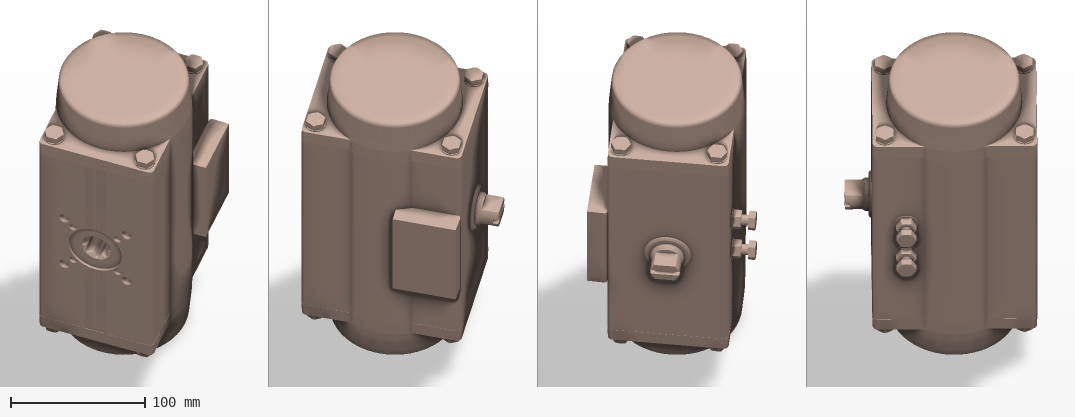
import cadquery as cq
import math


half_width = 45.5
half_depth = 61.4
half_length = 88.0
corner_radius = 4.0
barrel_radius = 50.9
barrel_blend = 4.0

skirt_height = 11.0
skirt_overhang = 0.1
skirt_draft = 2.0
dome_base_radius = 50.7
skirt_top = half_length + skirt_height
cap_top = 126.15
crown_flat_radius = 40.3
crown_edge = (46.5, 125.1)
shoulder_edge = (48.6, 122.2)

hex_flats = 13.0
hex_corners = hex_flats / math.cos(math.pi / 6)
hex_bevel_angle = math.radians(20)

bolt_x = 36.0
bolt_y = 52.0
bolt_flange_diameter = 15.0
bolt_flange_height = 0.9
bolt_head_height = 5.3

serration_count = 18
serration_pitch = 0.9
serration_depth = 0.3

mount_holes = [(6.65, 8.2, 70.0), (4.92, 6.2, 50.0)]
mount_hole_depth = 14.0
drill_tip_angle = math.radians(118)

pinion_diameter = 39.6
pinion_recess_diameter = 42.3
pinion_recess_depth = 2.0
pinion_top = 50.0
journal_diameter = 25.0
journal_top = 66.3
shaft_diameter = 22.2
flats_bottom = 68.5
flats_width = 15.0
shaft_top = 81.5
shaft_end_chamfer = 0.7
slot_width = 4.0
slot_depth = 4.0

socket_square = 17.0
socket_depth = 19.0
socket_pilot_diameter = 17.2
socket_tip_diameter = 22.6
socket_mouth_diameter = 23.3

washer_diameter = 35.0
washer_top_diameter = 32.0
washer_height = 2.3
washer_bevel_height = 1.0

stop_y = 36.2
stop_z = 16.0
stop_reach = 17.8
stop_shank_diameter = 8.0
stop_collar_diameter = 17.2
stop_collar_height = 0.6
stop_nut_height = 6.4
stop_head_height = 5.3

block_thickness = 15.0
block_half_length = 37.5
block_bottom = 12.65
block_corner_radius = 2.5
block_gap_radius = 51.6
block_top_slope = 0.5
block_side_slope = 0.2
block_lip_radius = 1.5


def drill(core_diameter, mouth_diameter, depth):
    """Blind hole along +Z with a conical tip and a 45 degree countersink at its mouth."""
    core = core_diameter / 2
    mouth = mouth_diameter / 2
    tip = core / math.tan(drill_tip_angle / 2)
    return (
        cq.Workplane("XZ")
        .polyline([(0, 0), (mouth, 0), (core, mouth - core), (core, depth), (0, depth + tip)])
        .close()
        .revolve(360, (0, 0, 0), (0, 1, 0))
    )


def onto_shaft_axis(solid):
    """Turns a solid built along +Z so that it runs along +Y."""
    return solid.rotate((0, 0, 0), (1, 0, 0), -90)


def hexagon(height):
    """Bolt head or nut along +Z, with two corners on the X axis and a bevelled far end."""
    bevel_radial = (hex_corners - hex_flats) / 2
    bevel_axial = bevel_radial * math.tan(hex_bevel_angle)
    bevelled = cq.Workplane("XY").circle(hex_corners / 2).extrude(height)
    bevelled = bevelled.faces(">Z").chamfer(bevel_axial, bevel_radial)
    prism = cq.Workplane("XY").polygon(6, hex_corners).extrude(height)
    return prism.intersect(bevelled)


def make_housing():
    body = (
        cq.Workplane("XY")
        .rect(2 * half_width, 2 * half_depth)
        .extrude(half_length, both=True)
        .edges("|Z")
        .fillet(corner_radius)
    )
    barrel = cq.Workplane("XY").circle(barrel_radius).extrude(half_length, both=True)
    body = body.union(barrel)
    junction_y = math.sqrt(barrel_radius**2 - half_width**2)
    for side in (-1, 1):
        for end in (-1, 1):
            point = (side * half_width, end * junction_y, 0)
            body = body.edges(cq.selectors.NearestToPointSelector(point)).fillet(barrel_blend)
    body = body.cut(serrations())
    for core, mouth, bolt_circle in mount_holes:
        hole = onto_shaft_axis(drill(core, mouth, mount_hole_depth))
        offset = bolt_circle / 2 * math.sin(math.pi / 4)
        for x in (-offset, offset):
            for z in (-offset, offset):
                body = body.cut(hole.translate((x, -half_depth, z)))
    return body.cut(shaft_passage())


def serrations():
    """Side-by-side V grooves along the whole length of the mounting face."""
    start = -serration_count * serration_pitch / 2
    points = [(start, -half_depth)]
    for index in range(serration_count):
        left = start + index * serration_pitch
        points.append((left + serration_pitch / 2, -half_depth + serration_depth))
        points.append((left + serration_pitch, -half_depth))
    points.append((-start, -half_depth - serration_depth))
    points.append((start, -half_depth - serration_depth))
    return cq.Workplane("XY").polyline(points).close().extrude(half_length, both=True)


def shaft_stage(diameter, bottom, top):
    """Cylinder on the shaft axis between two Y positions."""
    stage = cq.Workplane("XY").circle(diameter / 2).extrude(top - bottom)
    return onto_shaft_axis(stage).translate((0, bottom, 0))


def shaft_passage():
    """Stepped bore that fits the shaft, opening into a wider recess at the mounting face."""
    floor = -half_depth + pinion_recess_depth
    recess = shaft_stage(pinion_recess_diameter, -half_depth, floor)
    pinion_bore = shaft_stage(pinion_diameter, floor, pinion_top)
    journal_bore = shaft_stage(journal_diameter, pinion_top, half_depth)
    return recess.union(pinion_bore).union(journal_bore)


def make_cap():
    """Upper end cap with its four bolt heads."""
    outline = (
        cq.Sketch()
        .rect(2 * (half_width + skirt_overhang), 2 * (half_depth + skirt_overhang))
        .vertices()
        .fillet(corner_radius)
    )
    plate = (
        cq.Workplane("XY", origin=(0, 0, half_length))
        .placeSketch(outline)
        .extrude(skirt_height, taper=skirt_draft)
    )
    dome = (
        cq.Workplane("XZ")
        .moveTo(0, half_length)
        .lineTo(0, cap_top)
        .lineTo(crown_flat_radius, cap_top)
        .tangentArcPoint(crown_edge, relative=False)
        .tangentArcPoint(shoulder_edge, relative=False)
        .lineTo(dome_base_radius, skirt_top)
        .lineTo(barrel_radius, half_length)
        .close()
        .revolve(360, (0, 0, 0), (0, 1, 0))
    )
    cap = plate.union(dome)
    flange = cq.Workplane("XY").circle(bolt_flange_diameter / 2).extrude(bolt_flange_height)
    head = hexagon(bolt_head_height).translate((0, 0, bolt_flange_height))
    bolt = flange.union(head)
    for x in (-bolt_x, bolt_x):
        for y in (-bolt_y, bolt_y):
            cap = cap.union(bolt.translate((x, y, skirt_top)))
    return cap


def make_shaft():
    """Pinion, journal and flatted stub with an end slot; the drive socket is in the pinion."""
    pinion_bottom = -half_depth + pinion_recess_depth
    pinion = shaft_stage(pinion_diameter, pinion_bottom, pinion_top)
    journal = shaft_stage(journal_diameter, pinion_top, flats_bottom)
    shoulder = flats_bottom - journal_top
    journal = journal.faces(">Y").chamfer(shoulder, (journal_diameter - shaft_diameter) / 2)
    stub = shaft_stage(shaft_diameter, flats_bottom, shaft_top)
    stub = stub.faces(">Y").chamfer(shaft_end_chamfer)
    flats = cq.Workplane("XY").box(shaft_diameter, 2 * shaft_top, flats_width)
    stub = stub.intersect(flats)
    slot = cq.Workplane("XY").box(shaft_diameter, 2 * slot_depth, slot_width)
    stub = stub.cut(slot.translate((0, shaft_top, 0)))
    shaft = pinion.union(journal).union(stub)
    return shaft.cut(drive_socket().translate((0, pinion_bottom, 0)))


def drive_socket():
    """Two squares turned by 45 degrees, with rounded-off tips, over a bevelled pilot hole."""
    square = cq.Workplane("XY").rect(socket_square, socket_square).extrude(socket_depth)
    star = square.union(square.rotate((0, 0, 0), (0, 0, 1), 45))
    tip_circle = cq.Workplane("XY").circle(socket_tip_diameter / 2).extrude(socket_depth)
    pilot = drill(socket_pilot_diameter, socket_mouth_diameter, socket_depth)
    return onto_shaft_axis(star.intersect(tip_circle).union(pilot))


def make_washer():
    washer = shaft_stage(washer_diameter, half_depth, half_depth + washer_height)
    bevel_radial = (washer_diameter - washer_top_diameter) / 2
    washer = washer.faces(">Y").chamfer(washer_bevel_height, bevel_radial)
    return washer.cut(shaft_stage(journal_diameter, half_depth, half_depth + washer_height))


def make_stop_screw():
    """Travel stop screw along +Z from its seat: collar, lock nut, shank and head."""
    head_bottom = stop_reach - stop_head_height
    screw = cq.Workplane("XY").circle(stop_collar_diameter / 2).extrude(stop_collar_height)
    screw = screw.union(hexagon(stop_nut_height).translate((0, 0, stop_collar_height)))
    screw = screw.union(cq.Workplane("XY").circle(stop_shank_diameter / 2).extrude(stop_reach))
    head = hexagon(stop_head_height).translate((0, 0, head_bottom))
    screw = screw.union(head)
    screw = screw.rotate((0, 0, 0), (0, 0, 1), 90)
    return screw.rotate((0, 0, 0), (0, 1, 0), -90).translate((-half_width, 0, 0))


def make_side_block():
    outer = half_width + block_thickness
    arc_top = math.sqrt(block_gap_radius**2 - half_width**2)
    arc_bottom = math.sqrt(block_gap_radius**2 - block_bottom**2)
    block = (
        cq.Workplane("XY")
        .moveTo(half_width, arc_top)
        .radiusArc((arc_bottom, block_bottom), block_gap_radius)
        .lineTo(outer - block_side_slope, block_bottom)
        .lineTo(outer, half_depth - block_top_slope)
        .lineTo(half_width, half_depth)
        .close()
        .extrude(block_half_length, both=True)
    )
    corner = cq.selectors.NearestToPointSelector((half_width, half_depth, 0))
    lip = cq.selectors.NearestToPointSelector((arc_bottom, block_bottom, 0))
    return block.edges(corner).fillet(block_corner_radius).edges(lip).fillet(block_lip_radius)


housing = make_housing()
upper_cap = make_cap()
caps = [upper_cap, upper_cap.mirror("XY")]
shaft = make_shaft()
thrust_washer = make_washer()
stop_screws = [make_stop_screw().translate((0, stop_y, z)) for z in (-stop_z, stop_z)]
side_block = make_side_block()

bodies = [housing, *caps, shaft, thrust_washer, *stop_screws, side_block]
result = cq.Compound.makeCompound([body.solids().val() for body in bodies])